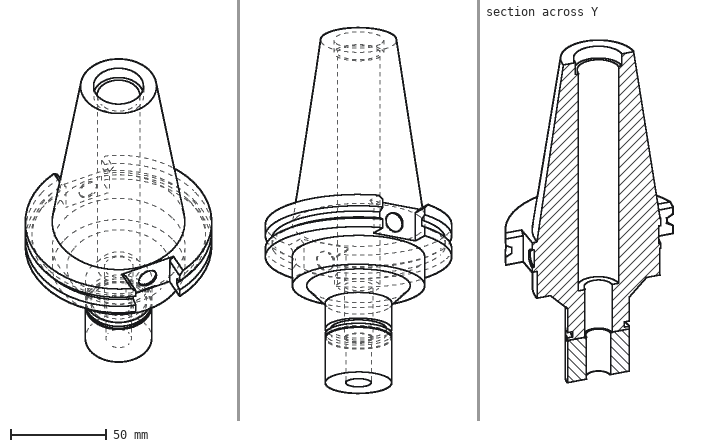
import cadquery as cq

total_height = 190.5
nut_height = 25.1
neck_groove_bottom = 27.0
neck_groove_top = 30.0
cone_bottom = 44.2
hub_bottom = 54.0
flange_bottom = 70.0
flange_top = 87.8
taper_bottom = 88.8

nut_radius = 17.5
nut_edge_chamfer = 0.4
neck_groove_radius = 14.7
cone_top_radius = nut_radius + (hub_bottom - cone_bottom)
hub_radius = 34.9
flange_diameter = 98.1
flange_radius = flange_diameter / 2
taper_top_radius = 20.0

v_groove_height = 78.1
v_groove_radius = 45.7
v_groove_floor_width = 3.2
v_groove_mouth_width = 6.9

slot_width = 25.5
left_slot_floor = 37.5
right_slot_floor = 35.2
slot_chamfer = 2.3
dimple_radius = 5.1
dimple_depth = 1.0

mouth_radius = 13.1
mouth_depth = 7.0
bore_radius = 11.2
bore_bottom = hub_bottom
holder_through_radius = 7.6
nut_bore_radius = 6.7


def cylinder(radius, bottom, top):
    return cq.Workplane("XY").workplane(offset=bottom).circle(radius).extrude(top - bottom)


def holder_blank():
    """Turned outline of the holder, revolved about the Z axis."""
    floor_half = v_groove_floor_width / 2
    mouth_half = v_groove_mouth_width / 2
    outline = [
        (0, nut_height),
        (nut_radius, nut_height),
        (nut_radius, neck_groove_bottom),
        (neck_groove_radius, neck_groove_bottom),
        (neck_groove_radius, neck_groove_top),
        (nut_radius, neck_groove_top),
        (nut_radius, cone_bottom),
        (cone_top_radius, hub_bottom),
        (hub_radius, hub_bottom),
        (hub_radius, flange_bottom),
        (flange_radius, flange_bottom),
        (flange_radius, v_groove_height - mouth_half),
        (v_groove_radius, v_groove_height - floor_half),
        (v_groove_radius, v_groove_height + floor_half),
        (flange_radius, v_groove_height + mouth_half),
        (flange_radius, flange_top),
        (hub_radius, flange_top),
        (hub_radius, taper_bottom),
        (taper_top_radius, total_height),
        (0, total_height),
    ]
    return cq.Workplane("XZ").polyline(outline).close().revolve(360, (0, 0, 0), (0, 1, 0))


def drive_slot(side, floor_distance):
    """Slot cutter with a chamfered mouth and a round dimple in its floor; side is +1 or -1 along X."""
    half = slot_width / 2
    section = [
        (-half, flange_bottom),
        (half, flange_bottom),
        (half, flange_top - slot_chamfer),
        (half + slot_chamfer, flange_top),
        (-half - slot_chamfer, flange_top),
        (-half, flange_top - slot_chamfer),
    ]
    slot_depth = flange_radius - floor_distance
    slot = (
        cq.Workplane("YZ").workplane(offset=side * floor_distance)
        .polyline(section).close().extrude(side * slot_depth)
    )
    dimple = (
        cq.Workplane("YZ").workplane(offset=side * (floor_distance - dimple_depth))
        .center(0, v_groove_height).circle(dimple_radius).extrude(side * dimple_depth)
    )
    return slot.union(dimple)


def make_holder():
    holder = holder_blank()
    holder = holder.cut(drive_slot(-1, left_slot_floor))
    holder = holder.cut(drive_slot(1, right_slot_floor))
    holder = holder.cut(cylinder(mouth_radius, total_height - mouth_depth, total_height))
    holder = holder.cut(cylinder(bore_radius, bore_bottom, total_height))
    return holder.cut(cylinder(holder_through_radius, nut_height, total_height))


def make_nut():
    nut = cylinder(nut_radius, 0, nut_height).faces(">Z").edges().chamfer(nut_edge_chamfer)
    return nut.cut(cylinder(nut_bore_radius, 0, nut_height))


holder = make_holder()
nut = make_nut()

result = cq.Compound.makeCompound([holder.val(), nut.val()])